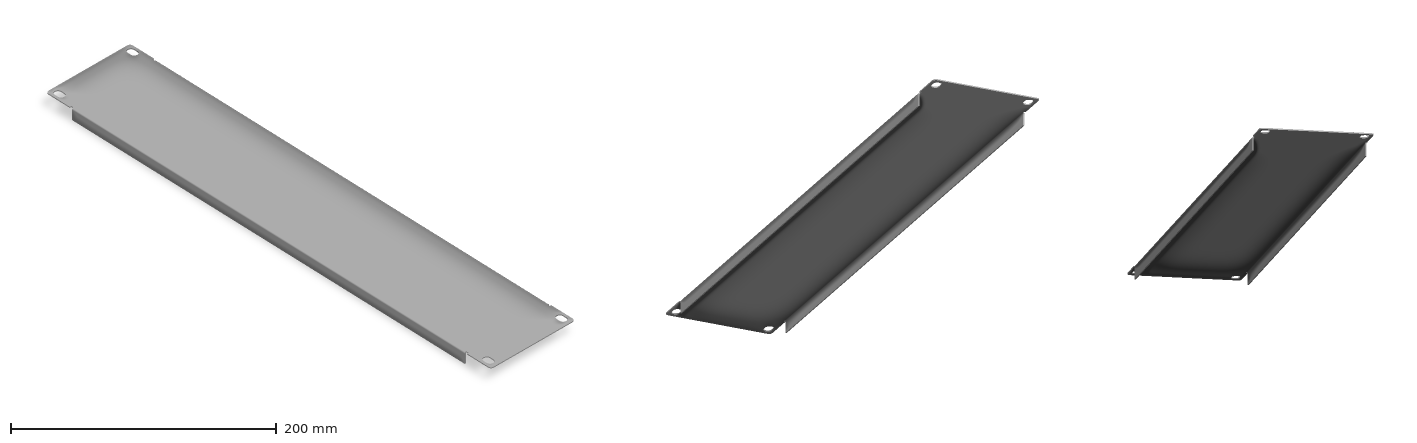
import cadquery as cq

length = 482.5
width = 88.0
height = 11.0
thickness = 1.0
corner_radius = 3.0

flange_length = 426.0
bend_outer_radius = 1.5
bend_inner_radius = bend_outer_radius - thickness

relief_width = 2.5
relief_depth = bend_outer_radius

slot_length = 10.0
slot_height = 6.8
slot_spacing_x = 465.0
slot_spacing_y = 76.0


def make_plate():
    """Flat face plate with rounded corners and its underside on Z = -thickness."""
    return (
        cq.Workplane("XY")
        .workplane(offset=-thickness)
        .rect(length, width)
        .extrude(thickness)
        .edges("|Z")
        .fillet(corner_radius)
    )


def make_edge_cutter():
    """Clears the plate edges for the bends and the relief notches."""
    clearance_length = flange_length + 2 * relief_width
    return (
        cq.Workplane("XY")
        .pushPoints([(0, -width / 2), (0, width / 2)])
        .box(clearance_length, 2 * relief_depth, 2 * height)
    )


def make_channel():
    """Centre section: web and both flanges, with rounded bends."""
    outer = (
        cq.Workplane("XY")
        .box(flange_length, width, height, centered=(True, True, False))
        .translate((0, 0, -height))
        .edges("|X and >Z")
        .fillet(bend_outer_radius)
    )
    inner_height = height - thickness
    inner = (
        cq.Workplane("XY")
        .box(flange_length, width - 2 * thickness, inner_height, centered=(True, True, False))
        .translate((0, 0, -height))
        .edges("|X and >Z")
        .fillet(bend_inner_radius)
    )
    return outer.cut(inner)


def make_slots():
    """Four round-ended mounting slots through the plate."""
    return (
        cq.Workplane("XY")
        .rarray(slot_spacing_x, slot_spacing_y, 2, 2)
        .slot2D(slot_length, slot_height)
        .extrude(-thickness)
    )


result = make_plate().cut(make_edge_cutter()).union(make_channel()).cut(make_slots())